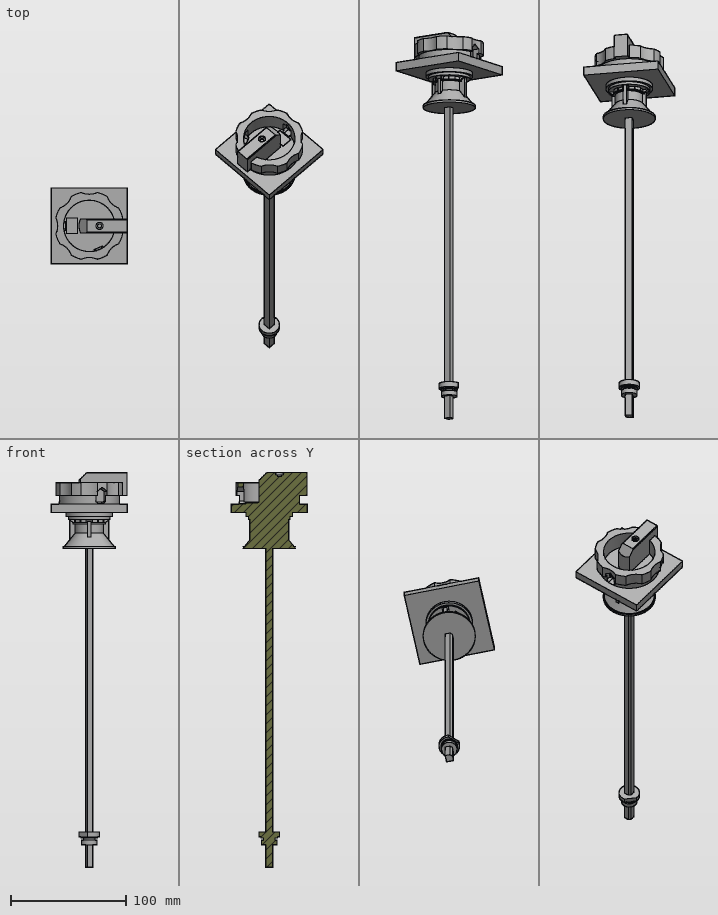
import cadquery as cq
import math

overall_height = 342.5
rim_top = 333.7
rim_bottom = 322.5
floor_level = 317.0
plate_top = 315.2
plate_bottom = 307.5
collar_bottom = 304.2
step_bottom = 302.0
crown_lip_top = 299.0
crown_bottom = 298.0
neck_bottom = 290.0
skirt_bottom = 278.5
disc_bottom = 276.5

plate_side = 66.0
drum_radius = 26.5
bore_radius = 22.3
lobe_radius = 29.8
valley_radius = 27.5
lobe_count = 8
valley_half_angle = 13.5

opening_angles = (180.0, -67.5)
opening_width = 9.3
opening_bottom = 315.5
opening_shoulder = 326.0
opening_peak = 329.5
opening_corner = 2.0
opening_overrun = 1.7

window_length = 9.5
window_width = 13.5
window_center_x = -15.0
window_depth = 0.7

handle_width = 12.0
handle_start = -9.0
handle_end = 33.0
handle_nose_bulge = 1.5
handle_slope_run = 7.0
handle_edge = 0.7
dimple_x = 9.0
dimple_radius = 3.0
dimple_depth = 2.0
socket_radius = 1.7
socket_depth = 3.5

collar_radius = 20.2
step_radius = 18.0
crown_radius = 14.0
crown_core_radius = 13.0
neck_radius = 12.5
skirt_radius = 21.5
disc_radius = 22.5
rib_width = 3.0
rib_reach_x = 17.0
rib_reach_y = 15.0
bracket_count = 4
bracket_width = 5.5
tapered_reach = 17.5

shaft_side = 6.0
shaft_corner = 1.7
bush_top = 31.0
flange_bottom = 26.5
flange_step_bottom = 25.5
nut_top = 23.5
nut_bottom = 19.5
flange_radius = 9.0
flange_step_radius = 7.2
bush_neck_radius = 5.0
nut_radius = 7.0
flange_flat_distance = 7.2
flat_angle = 225.0


def cylinder(radius, bottom, top):
    return cq.Workplane("XY").workplane(offset=bottom).circle(radius).extrude(top - bottom)


def box_between(x_range, y_range, z_range):
    lows, highs = zip(x_range, y_range, z_range)
    sizes = [high - low for low, high in zip(lows, highs)]
    return cq.Workplane("XY").box(*sizes, centered=False).translate(lows)


def polar(radius, angle):
    return (radius * math.cos(math.radians(angle)), radius * math.sin(math.radians(angle)))


def make_scalloped_rim():
    """Grip ring whose outline alternates shallow hollows and lobes."""
    pitch = 360.0 / lobe_count
    outline = cq.Workplane("XY").workplane(offset=rim_bottom)
    outline = outline.moveTo(*polar(lobe_radius, -valley_half_angle))
    for index in range(lobe_count):
        valley = index * pitch
        hollow_end = polar(lobe_radius, valley + valley_half_angle)
        outline = outline.threePointArc(polar(valley_radius, valley), hollow_end)
        lobe_middle = polar(lobe_radius, valley + pitch / 2)
        lobe_end = polar(lobe_radius, valley + pitch - valley_half_angle)
        outline = outline.threePointArc(lobe_middle, lobe_end)
    return outline.close().extrude(rim_top - rim_bottom)


def make_opening(angle):
    """Radial opening with a pointed roof and chamfered lower corners."""
    half = opening_width / 2
    profile = [
        (-half + opening_corner, opening_bottom),
        (half - opening_corner, opening_bottom),
        (half, opening_bottom + opening_corner),
        (half, opening_shoulder),
        (0, opening_peak),
        (-half, opening_shoulder),
        (-half, opening_bottom + opening_corner),
    ]
    inner_reach = bore_radius - opening_overrun
    length = lobe_radius + opening_overrun - inner_reach
    cutter = cq.Workplane("YZ").workplane(offset=inner_reach).polyline(profile).close().extrude(length)
    return cutter.rotate((0, 0, 0), (0, 0, 1), angle)


def make_hand_ring():
    ring = cylinder(drum_radius, plate_top, rim_bottom).union(make_scalloped_rim())
    ring = ring.cut(cylinder(bore_radius, floor_level, rim_top))
    for angle in opening_angles:
        ring = ring.cut(make_opening(angle))
    window = cq.Workplane("XY").box(window_length, window_width, 2 * window_depth)
    return ring.cut(window.translate((window_center_x, 0, floor_level)))


def make_handle():
    half = handle_width / 2
    handle = (
        cq.Workplane("XY")
        .workplane(offset=floor_level)
        .moveTo(handle_end, -half)
        .lineTo(handle_end, half)
        .lineTo(handle_start + handle_nose_bulge, half)
        .threePointArc((handle_start, 0), (handle_start + handle_nose_bulge, -half))
        .close()
        .extrude(overall_height - floor_level)
    )
    handle = handle.faces(">Z").edges("|X").chamfer(handle_edge)
    slope = (
        cq.Workplane("XZ")
        .moveTo(handle_start, overall_height - handle_slope_run)
        .lineTo(handle_start + handle_slope_run, overall_height)
        .lineTo(handle_start, overall_height)
        .close()
        .extrude(half, both=True)
    )
    undercut = box_between((bore_radius, handle_end), (-half, half), (floor_level, rim_bottom))
    dimple = cylinder(dimple_radius, overall_height - dimple_depth, overall_height)
    socket = cylinder(socket_radius, overall_height - socket_depth, overall_height)
    screw_recess = dimple.union(socket).translate((dimple_x, 0, 0))
    return handle.cut(slope).cut(undercut).cut(screw_recess)


def make_bracket(top_reach, angle):
    """Short radial bracket from the step ring down to the crown lip."""
    bracket = (
        cq.Workplane("XZ")
        .moveTo(0, step_bottom)
        .lineTo(top_reach, step_bottom)
        .lineTo(crown_radius, crown_lip_top)
        .lineTo(0, crown_lip_top)
        .close()
        .extrude(bracket_width / 2, both=True)
    )
    return bracket.rotate((0, 0, 0), (0, 0, 1), angle)


def make_hub():
    profile = [
        (0, plate_bottom),
        (collar_radius, plate_bottom),
        (collar_radius, collar_bottom),
        (step_radius, collar_bottom),
        (step_radius, step_bottom),
        (crown_core_radius, step_bottom),
        (crown_core_radius, crown_lip_top),
        (crown_radius, crown_lip_top),
        (crown_radius, crown_bottom),
        (neck_radius, crown_bottom),
        (neck_radius, neck_bottom),
        (skirt_radius, skirt_bottom),
        (disc_radius, skirt_bottom),
        (disc_radius, disc_bottom),
        (0, disc_bottom),
    ]
    hub = cq.Workplane("XZ").polyline(profile).close().revolve(360, (0, 0), (0, 1))
    pitch = 360.0 / bracket_count
    for index in range(bracket_count):
        hub = hub.union(make_bracket(tapered_reach, index * pitch))
        hub = hub.union(make_bracket(crown_radius, (index + 0.5) * pitch))
    half = rib_width / 2
    rib_heights = (skirt_bottom, collar_bottom)
    hub = hub.union(box_between((-rib_reach_x, rib_reach_x), (-half, half), rib_heights))
    return hub.union(box_between((-half, half), (-rib_reach_y, rib_reach_y), rib_heights))


def make_shaft():
    shaft = cq.Workplane("XY").rect(shaft_side, shaft_side).extrude(plate_bottom)
    return shaft.edges("|Z").edges("<(1,1,0)").chamfer(shaft_corner)


def make_bush():
    flange = cylinder(flange_radius, flange_bottom, bush_top)
    flange = flange.union(cylinder(flange_step_radius, flange_step_bottom, flange_bottom))
    flat_cutter = box_between(
        (flange_flat_distance, flange_radius),
        (-flange_radius, flange_radius),
        (flange_bottom, bush_top),
    )
    flange = flange.cut(flat_cutter.rotate((0, 0, 0), (0, 0, 1), flat_angle))
    bush_neck = cylinder(bush_neck_radius, nut_top, flange_step_bottom)
    nut = cylinder(nut_radius, nut_bottom, nut_top)
    return flange.union(bush_neck).union(nut)


half_plate = plate_side / 2
plate_range = (-half_plate, half_plate)
plate = box_between(plate_range, plate_range, (plate_bottom, plate_top))

result = plate.union(make_hand_ring()).union(make_handle())
result = result.union(make_hub()).union(make_shaft()).union(make_bush())